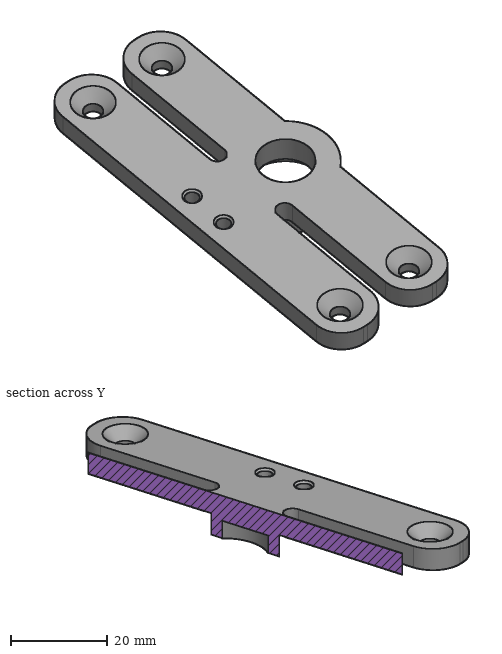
import cadquery as cq

length = 94.0
thickness = 5.0
arm_width = 14.9
arm_gap = 4.0
corner_radius = 7.0
arm_pitch = arm_width + arm_gap
slot_tip_x = 8.65

boss_diameter = 23.0
boss_drop = 5.0
bore_diameter = 12.5
pocket_diameter = 19.0
pocket_depth = 4.0

screw_inset = 8.0
screw_diameter = 4.2
sink_diameter = 9.5
sink_angle = 90

small_hole_x = 5.0
small_hole_inset = 5.1
small_hole_diameter = 3.2
small_hole_chamfer = 0.5

front_arm_y = -arm_pitch
front_edge_y = front_arm_y - arm_width / 2


def arm(center_y):
    return (
        cq.Workplane("XY")
        .center(0, center_y)
        .rect(length, arm_width)
        .extrude(thickness)
        .edges("|Z")
        .fillet(corner_radius)
    )


def bridge():
    """Block filling the gap between the arms, with a concave round at each end."""
    tip_radius = arm_gap / 2
    half_width = slot_tip_x + tip_radius
    block = (
        cq.Workplane("XY")
        .center(0, -arm_pitch / 2)
        .rect(2 * half_width, arm_gap)
        .extrude(thickness)
    )
    slot_ends = (
        cq.Workplane("XY")
        .pushPoints([(side * half_width, -arm_pitch / 2) for side in (-1, 1)])
        .circle(tip_radius)
        .extrude(thickness)
    )
    return block.cut(slot_ends)


def boss():
    return (
        cq.Workplane("XY")
        .workplane(offset=-boss_drop)
        .circle(boss_diameter / 2)
        .extrude(boss_drop + thickness)
    )


def bearing_pocket():
    return (
        cq.Workplane("XY")
        .workplane(offset=-boss_drop)
        .circle(pocket_diameter / 2)
        .extrude(pocket_depth)
    )


body = arm(0).union(arm(front_arm_y)).union(bridge()).union(boss())
body = body.cut(bearing_pocket())

top_plane = cq.Workplane("XY").workplane(offset=thickness)
through_depth = thickness + boss_drop
body = body.cut(top_plane.circle(bore_diameter / 2).extrude(-through_depth))

screw_x = length / 2 - screw_inset
screw_points = [(side * screw_x, y) for side in (-1, 1) for y in (0, front_arm_y)]
body = (
    body.copyWorkplane(top_plane)
    .pushPoints(screw_points)
    .cskHole(screw_diameter, sink_diameter, sink_angle)
)

small_hole_y = front_edge_y + small_hole_inset
small_hole_points = [(side * small_hole_x, small_hole_y) for side in (-1, 1)]
small_hole_mouth = small_hole_diameter + 2 * small_hole_chamfer
result = (
    body.copyWorkplane(top_plane)
    .pushPoints(small_hole_points)
    .cskHole(small_hole_diameter, small_hole_mouth, sink_angle)
)